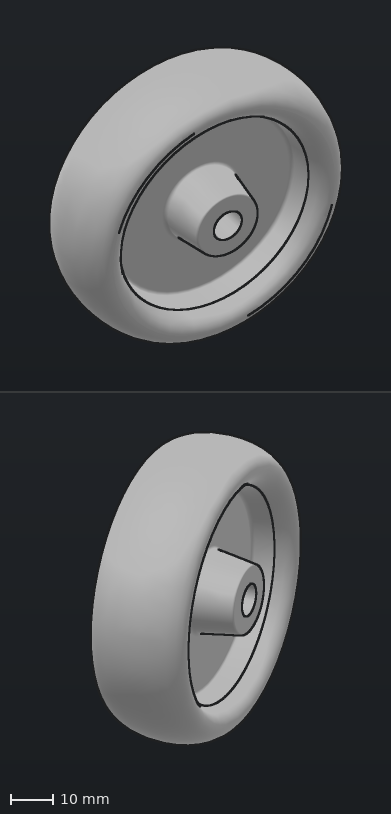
import cadquery as cq
import math

outer_radius = 37.5
tyre_half_width = 12.5
section_half_height = 6.1
section_center_radius = outer_radius - section_half_height

hub_length = 28.0
hub_half_length = hub_length / 2
hub_tip_radius = 8.6
hub_root_radius = 10.35
bore_radius = 4.0
web_half_thickness = 2.8
rim_root_radius = 25.6
seat_radius = 26.8
root_fillet = 1.0
hub_tip_fillet = 0.5

rim_half_width = tyre_half_width * math.sqrt(
    1 - ((section_center_radius - seat_radius) / section_half_height) ** 2
)

X_AXIS_START = (0, 0, 0)
X_AXIS_END = (1, 0, 0)


def make_tyre():
    """Revolve the elliptical section, then open its inside to the wheel seat."""
    section = (
        cq.Workplane("XY")
        .center(0, section_center_radius)
        .ellipse(tyre_half_width, section_half_height)
    )
    ring = section.revolve(360, (0, -section_center_radius, 0), (1, -section_center_radius, 0))
    seat = (
        cq.Workplane("YZ")
        .circle(seat_radius)
        .extrude(tyre_half_width, both=True)
    )
    return ring.cut(seat)


def circles_at(x, radius):
    """Selector for the circular edges of one radius in the planes at -x and +x."""
    margin = 0.01
    boxes = [
        cq.selectors.BoxSelector(
            (side * x - margin, -radius - margin, -radius - margin),
            (side * x + margin, radius + margin, radius + margin),
            boundingbox=True,
        )
        for side in (-1, 1)
    ]
    return boxes[0] + boxes[1]


def make_wheel_center():
    """Revolve web, hub and rim, round the corners, then bore the result."""
    right_side = [
        (hub_half_length, 0),
        (hub_half_length, hub_tip_radius),
        (web_half_thickness, hub_root_radius),
        (web_half_thickness, rim_root_radius),
        (rim_half_width, seat_radius),
    ]
    left_side = [(-x, radius) for x, radius in reversed(right_side)]
    body = (
        cq.Workplane("XY")
        .polyline(right_side + left_side)
        .close()
        .revolve(360, X_AXIS_START, X_AXIS_END)
    )
    hub_tips = circles_at(hub_half_length, hub_tip_radius)
    body = body.edges(hub_tips).fillet(hub_tip_fillet)
    web_roots = circles_at(web_half_thickness, rim_root_radius)
    body = body.edges(web_roots).fillet(root_fillet)
    bore = (
        cq.Workplane("YZ")
        .circle(bore_radius)
        .extrude(hub_half_length, both=True)
    )
    return body.cut(bore)


tyre = make_tyre()
wheel_center = make_wheel_center()

result = cq.Compound.makeCompound([tyre.val(), wheel_center.val()])